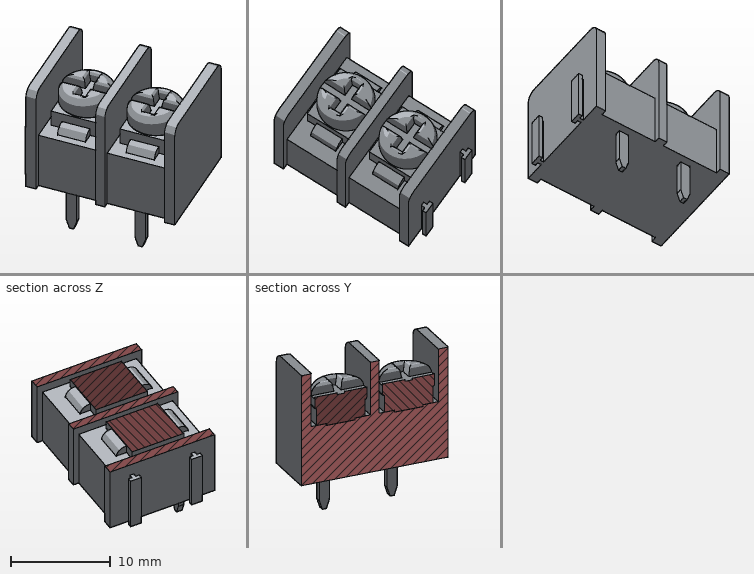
import cadquery as cq
import math


POLE_COUNT = 2
BAY_WIDTH = 6.49
MIDDLE_DIVIDER = 1.0
END_DIVIDER = 1.12
DIVIDER_DEPTH = 12.0
DIVIDER_HEIGHT = 12.23
DIVIDER_CORNER = 1.05
BASE_DEPTH = 10.76
BASE_HEIGHT = 6.4
POLE_PITCH = BAY_WIDTH + MIDDLE_DIVIDER
BAY_SPAN = POLE_COUNT * POLE_PITCH - MIDDLE_DIVIDER

RAIL_SPACING = 6.99
RAIL_HEIGHT = 5.99
RAIL_PROJECTION = 0.85
RAIL_FLANGE_THICKNESS = 0.43
RAIL_FLANGE_WIDTH = 1.25
RAIL_STEM_WIDTH = 0.43

TERMINAL_Y = -0.42
BAR_WIDTH = 3.06
BAR_LENGTH = 8.3
BAR_HEIGHT = 0.83
BAR_ROUND = 1.04
SEAT_DEPTH = BAR_ROUND - BAR_HEIGHT
SEAT_FLOOR = BASE_HEIGHT - SEAT_DEPTH
PIN_WIDTH = 1.12
PIN_THICKNESS = 0.64
PIN_LENGTH = 5.07
PIN_TAPER_HEIGHT = 1.0
PIN_TIP_WIDTH = 0.45
PIN_Y = TERMINAL_Y - (BAR_LENGTH - PIN_THICKNESS) / 2
WASHER_WIDTH = 5.4
WASHER_DEPTH = 5.92
WASHER_HEIGHT = 1.8
WASHER_TOP = BASE_HEIGHT + WASHER_HEIGHT
HEAD_DIAMETER = 5.85
HEAD_HEIGHT = 2.23
HEAD_TOP_ROUND = 1.05
HEAD_BOTTOM_ROUND = 0.2
HEAD_TOP = WASHER_TOP + HEAD_HEIGHT

DRIVE_DEPTH = HEAD_TOP_ROUND
LIP_ROUND = 0.38
SIDE_LIP_EDGE = 0.9
SIDE_TAPER = 11
END_TAPER = 4
END_LIP_TILT = 25


def box(width, depth, height, x, y, z):
    """Box centred on x and y, standing on z."""
    return cq.Workplane("XY", origin=(x, y, z)).box(width, depth, height, centered=(True, True, False))


def make_divider(thickness, x):
    divider = box(thickness, DIVIDER_DEPTH, DIVIDER_HEIGHT, x, 0, 0)
    return divider.edges("|X and >Z").fillet(DIVIDER_CORNER)


def make_rail(y):
    wall_face = -BAY_SPAN / 2 - END_DIVIDER
    stem_x = wall_face - RAIL_PROJECTION / 2
    flange_x = wall_face - RAIL_PROJECTION + RAIL_FLANGE_THICKNESS / 2
    stem = box(RAIL_PROJECTION, RAIL_STEM_WIDTH, RAIL_HEIGHT, stem_x, y, 0)
    flange = box(RAIL_FLANGE_THICKNESS, RAIL_FLANGE_WIDTH, RAIL_HEIGHT, flange_x, y, 0)
    return stem.union(flange)


def make_housing(pole_places):
    housing = box(BAY_SPAN, BASE_DEPTH, BASE_HEIGHT, 0, 0, 0)

    for side in (-1, 1):
        housing = housing.union(make_divider(END_DIVIDER, side * (BAY_SPAN + END_DIVIDER) / 2))
    for pole_x in pole_places[:-1]:
        housing = housing.union(make_divider(MIDDLE_DIVIDER, pole_x + POLE_PITCH / 2))

    for side in (-1, 1):
        housing = housing.union(make_rail(side * RAIL_SPACING / 2))

    for pole_x in pole_places:
        housing = housing.cut(box(BAR_WIDTH, BAR_LENGTH, SEAT_DEPTH, pole_x, TERMINAL_Y, SEAT_FLOOR))
        housing = housing.cut(box(PIN_WIDTH, PIN_THICKNESS, SEAT_FLOOR, pole_x, PIN_Y, 0))
    return housing


def flared_slot(plane, lip_y, lip_z, taper, tilt):
    """Cutter across the head with tapered walls that run into rounded lips.

    lip_y and lip_z place the lip's centre on one side, taper is the wall's angle from vertical, and
    tilt is how far the lip runs past its highest point. The other side is mirrored.
    """
    def lip_point(angle):
        """Point of the lip at an angle from vertical, positive away from the slot."""
        turn = math.radians(angle)
        return lip_y + LIP_ROUND * math.sin(turn), lip_z + LIP_ROUND * math.cos(turn)

    bottom = HEAD_TOP - DRIVE_DEPTH
    start = lip_point(taper - 90)
    middle = lip_point((taper - 90 + tilt) / 2)
    end = lip_point(tilt)
    floor_y = start[0] - (start[1] - bottom) * math.tan(math.radians(taper))
    clear_z = HEAD_TOP + LIP_ROUND
    half = (
        cq.Workplane(plane)
        .moveTo(0, bottom)
        .lineTo(floor_y, bottom)
        .lineTo(*start)
        .threePointArc(middle, end)
        .lineTo(end[0], clear_z)
        .lineTo(0, clear_z)
        .close()
        .extrude(HEAD_DIAMETER, both=True)
    )
    return half.union(half.rotate((0, 0, 0), (0, 0, 1), 180))


def make_screw_head():
    head = cq.Workplane("XY", origin=(0, 0, WASHER_TOP)).circle(HEAD_DIAMETER / 2).extrude(HEAD_HEIGHT)
    head = head.faces(">Z").edges().fillet(HEAD_TOP_ROUND)
    head = head.faces("<Z").edges().fillet(HEAD_BOTTOM_ROUND)

    side_lip_z = HEAD_TOP - LIP_ROUND
    long_slot = flared_slot("YZ", SIDE_LIP_EDGE, side_lip_z, SIDE_TAPER, 0)
    short_slot = flared_slot("XZ", SIDE_LIP_EDGE, side_lip_z, SIDE_TAPER, 0)

    rim_offset = HEAD_TOP_ROUND - LIP_ROUND
    rim_angle = math.radians(END_LIP_TILT)
    end_lip_y = HEAD_DIAMETER / 2 - HEAD_TOP_ROUND + rim_offset * math.sin(rim_angle)
    end_lip_z = HEAD_TOP - HEAD_TOP_ROUND + rim_offset * math.cos(rim_angle)
    slot_ends = flared_slot("YZ", end_lip_y, end_lip_z, END_TAPER, END_LIP_TILT)

    return head.cut(long_slot).cut(short_slot.intersect(slot_ends))


def make_pin(x):
    shoulder_z = PIN_TAPER_HEIGHT - PIN_LENGTH
    pin = (
        cq.Workplane("XZ")
        .moveTo(-PIN_WIDTH / 2, SEAT_FLOOR)
        .lineTo(PIN_WIDTH / 2, SEAT_FLOOR)
        .lineTo(PIN_WIDTH / 2, shoulder_z)
        .lineTo(PIN_TIP_WIDTH / 2, -PIN_LENGTH)
        .lineTo(-PIN_TIP_WIDTH / 2, -PIN_LENGTH)
        .lineTo(-PIN_WIDTH / 2, shoulder_z)
        .close()
        .extrude(PIN_THICKNESS / 2, both=True)
    )
    return pin.translate((x, PIN_Y, 0))


def make_contact_bar(x):
    """Bar whose two upper ends are quarter rounds over its full height."""
    half_length = BAR_LENGTH / 2
    flat_half = half_length - BAR_ROUND
    top = SEAT_FLOOR + BAR_ROUND
    bar = (
        cq.Workplane("YZ")
        .moveTo(-half_length, SEAT_FLOOR)
        .lineTo(half_length, SEAT_FLOOR)
        .radiusArc((flat_half, top), -BAR_ROUND)
        .lineTo(-flat_half, top)
        .radiusArc((-half_length, SEAT_FLOOR), -BAR_ROUND)
        .close()
        .extrude(BAR_WIDTH / 2, both=True)
    )
    return bar.translate((x, TERMINAL_Y, 0))


def make_terminal(x):
    washer = box(WASHER_WIDTH, WASHER_DEPTH, WASHER_HEIGHT, x, TERMINAL_Y, BASE_HEIGHT)
    head = make_screw_head().translate((x, TERMINAL_Y, 0))
    return make_contact_bar(x).union(make_pin(x)).union(washer).union(head)


pole_places = [(pole - (POLE_COUNT - 1) / 2) * POLE_PITCH for pole in range(POLE_COUNT)]
housing = make_housing(pole_places).solids().val()
terminals = [make_terminal(pole_x).solids().val() for pole_x in pole_places]

result = cq.Compound.makeCompound([housing, *terminals])